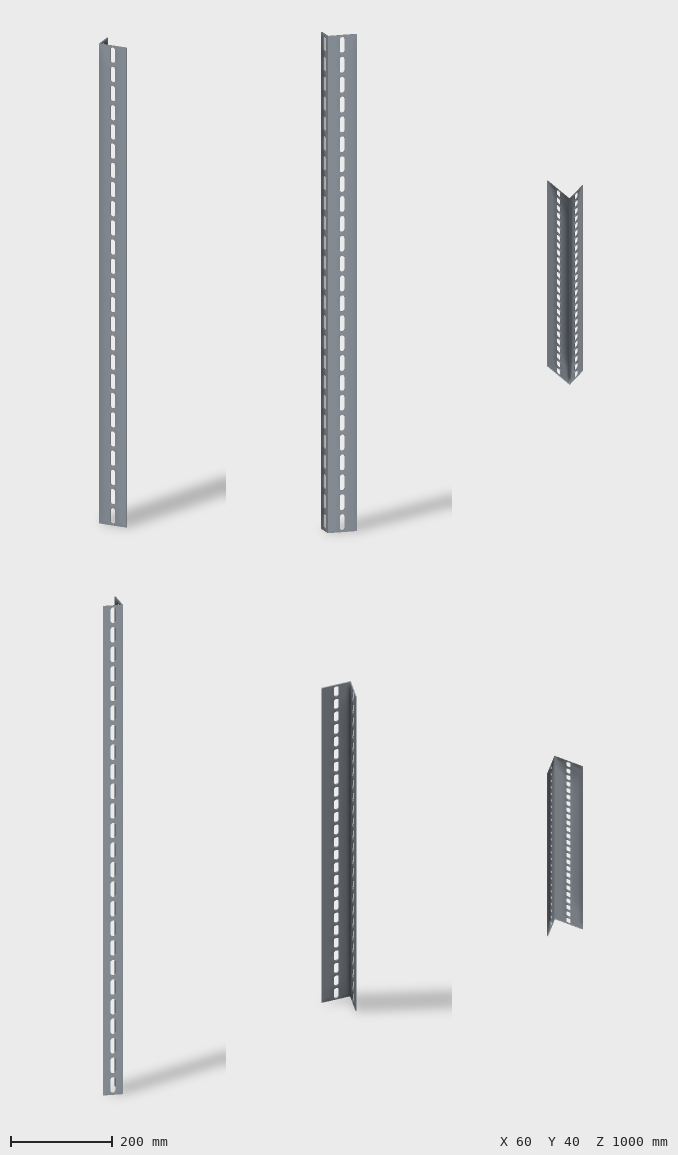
import cadquery as cq

length = 1000.0
front_leg_width = 60.0
side_leg_width = 40.0
thickness = 2.0
inner_corner_radius = 2.0

slot_length = 32.0
slot_width = 10.0
slot_pitch = 40.0
slot_count = int(length / slot_pitch)
first_slot_z = slot_pitch / 2
slot_heights = [first_slot_z + i * slot_pitch for i in range(slot_count)]


def angle_bar():
    """L-shaped bar, sharp outside and rounded in the inner corner."""
    arc_end = thickness + inner_corner_radius
    return (
        cq.Workplane("XY")
        .lineTo(0, side_leg_width)
        .lineTo(thickness, side_leg_width)
        .lineTo(thickness, arc_end)
        .radiusArc((arc_end, thickness), -inner_corner_radius)
        .lineTo(front_leg_width, thickness)
        .lineTo(front_leg_width, 0)
        .close()
        .extrude(length)
    )


def slot_row(leg_plane, leg_width, inward):
    """Cutters for the slots of one leg; `inward` is the normal's sign that points into the leg."""
    return (
        cq.Workplane(leg_plane)
        .pushPoints([(leg_width / 2, z) for z in slot_heights])
        .slot2D(slot_length, slot_width, 90)
        .extrude(inward * thickness)
    )


front_slots = slot_row("XZ", front_leg_width, -1)
side_slots = slot_row("YZ", side_leg_width, 1)

result = angle_bar().cut(front_slots).cut(side_slots)